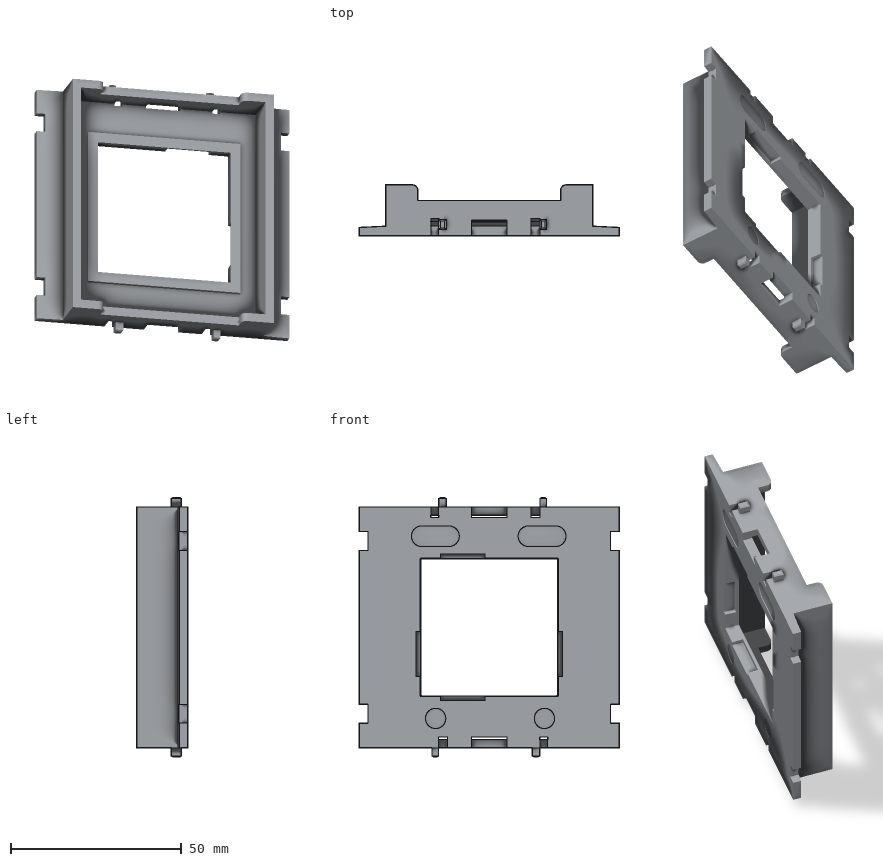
import cadquery as cq
import math


plate_width = 76.2
plate_height = 70.55
plate_thickness = 2.9
plate_edge_thickness = 2.5

shell_width = 60.65
shell_depth = 15.0
cross_wall_depth = 10.45
wall_thickness = 2.5
tab_inner_x = 20.9
tab_corner_radius = 1.75

window_size = 40.55
window_end_size = 40.1
window_corner_radius = 0.45
collar_depth = 4.2
collar_wall = 2.75

pocket_length = 13.1
pocket_offset = -7.8
pocket_reach = 1.15
pocket_depth = 3.3

side_notch_depth = 2.6
side_notch_height = 5.5
side_notch_z = 25.3

edge_notch_height = 3.1
center_slot_width = 10.4
center_slot_depth = 4.6
pin_slot_depth = 5.1
pin_slots_x = ((-17.1, -14.8), (12.3, 14.8))
pin_widths = (2.2, 2.0)
pin_front_y = 1.9
pin_depth = 3.0
pin_height = 2.7
pin_tip_height = 0.3
pin_tip_inset = 0.45

recess_depth = 0.2
label_length = 14.0
label_height = 6.0
label_centers = ((-15.8, 26.7), (15.5, 26.7))
dial_radius = 3.0
dial_centers = ((-15.7, -26.7), (16.15, -26.7))


def block(x_range, y_range, z_range):
    """Axis-aligned box from its limits along X, Y and Z."""
    (x0, x1), (y0, y1), (z0, z1) = x_range, y_range, z_range
    return cq.Workplane("XY").box(x1 - x0, y1 - y0, z1 - z0, centered=False).translate((x0, y0, z0))


def span(size, center=0.0):
    """Limits of a length placed around a center."""
    return (center - size / 2, center + size / 2)


def front_plane():
    """Sketch plane on the front face; positive extrusion runs toward -Y."""
    return cq.Workplane("XZ")


def half_turn(body):
    """Copy of a body turned half a turn about the Y axis."""
    return body.rotate((0, 0, 0), (0, 1, 0), 180)


half_width = plate_width / 2
half_height = plate_height / 2
half_shell = shell_width / 2


def make_plate():
    """Plate whose left and right wings thin out toward their outer edges."""
    return (
        cq.Workplane("XY", origin=(0, 0, -half_height))
        .polyline([
            (-half_width, 0),
            (half_width, 0),
            (half_width, plate_edge_thickness),
            (half_shell, plate_thickness),
            (-half_shell, plate_thickness),
            (-half_width, plate_edge_thickness),
        ])
        .close()
        .extrude(plate_height)
    )


def make_shell():
    """Full-depth side walls joined by cross walls with a raised tab at each end."""
    shell = (
        cq.Workplane("XY", origin=(0, 0, -half_height))
        .polyline([
            (-half_shell, 0),
            (half_shell, 0),
            (half_shell, shell_depth),
            (tab_inner_x, shell_depth),
            (tab_inner_x, cross_wall_depth),
            (-tab_inner_x, cross_wall_depth),
            (-tab_inner_x, shell_depth),
            (-half_shell, shell_depth),
        ])
        .close()
        .extrude(plate_height)
    )
    tab_corners = [(side * tab_inner_x, shell_depth, 0) for side in (-1, 1)]
    for corner in tab_corners:
        shell = shell.edges(cq.selectors.NearestToPointSelector(corner)).fillet(tab_corner_radius)
    cavity = block(
        span(shell_width - 2 * wall_thickness),
        (plate_thickness, shell_depth),
        span(plate_height - 2 * wall_thickness),
    )
    return shell.cut(cavity)


def make_collar():
    """Ring behind the plate that deepens the window walls."""
    outer_size = window_size + 2 * collar_wall
    return block(span(outer_size), (0, collar_depth), span(outer_size))


def make_window():
    """Square opening that narrows slightly from the front face to the collar end."""
    draft = math.degrees(math.atan((window_end_size - window_size) / 2 / collar_depth))
    return (
        front_plane()
        .sketch()
        .rect(window_size, window_size)
        .vertices()
        .fillet(window_corner_radius)
        .finalize()
        .extrude(-collar_depth, taper=-draft)
    )


def make_latch_pockets():
    """Pockets cut outward from each side of the window, open to the front."""
    reach = span(window_size + 2 * pocket_reach)
    along = span(pocket_length, pocket_offset)
    depth = (0, pocket_depth)
    return block(reach, depth, along).union(block(along, depth, reach))


def make_side_notches():
    """Four notches through the left and right edges of the plate."""
    notches = cq.Workplane("XY")
    for side in (-1, 1):
        for z in (-side_notch_z, side_notch_z):
            center_x = side * (half_width - side_notch_depth / 2)
            notches = notches.union(
                block(span(side_notch_depth, center_x), (0, plate_thickness), span(side_notch_height, z))
            )
    return notches


def make_top_slots():
    """Center slot and the two slots beside the pins, cut into the top edge."""
    plate_notch_z = (half_height - edge_notch_height, half_height)
    wall_z = (half_height - wall_thickness, half_height)
    slots = cq.Workplane("XY")
    slot_list = [(span(center_slot_width), center_slot_depth)]
    slot_list += [(limits, pin_slot_depth) for limits in pin_slots_x]
    for x_range, depth in slot_list:
        slots = slots.union(block(x_range, (0, plate_thickness), plate_notch_z))
        slots = slots.union(block(x_range, (0, depth), wall_z))
    return slots


def make_top_pins():
    """Pins on the top edge, each starting at the right side of its slot."""
    pins = cq.Workplane("XY")
    pin_y = (pin_front_y, pin_front_y + pin_depth)
    for (_, slot_end), width in zip(pin_slots_x, pin_widths):
        pin = block(
            (slot_end, slot_end + width),
            pin_y,
            (half_height - wall_thickness, half_height + pin_height),
        )
        pins = pins.union(pin.faces(">Z").chamfer(pin_tip_height, pin_tip_inset))
    return pins


def make_marking_recesses():
    """Two stadium-shaped label recesses and two round dial recesses."""
    labels = front_plane().pushPoints(label_centers).slot2D(label_length, label_height).extrude(-recess_depth)
    dials = front_plane().pushPoints(dial_centers).circle(dial_radius).extrude(-recess_depth)
    return labels.union(dials)


top_slots = make_top_slots()
top_pins = make_top_pins()

result = (
    make_plate()
    .union(make_shell())
    .union(make_collar())
    .cut(make_window())
    .cut(make_latch_pockets())
    .cut(make_side_notches())
    .cut(top_slots)
    .cut(half_turn(top_slots))
    .union(top_pins)
    .union(half_turn(top_pins))
    .cut(make_marking_recesses())
)